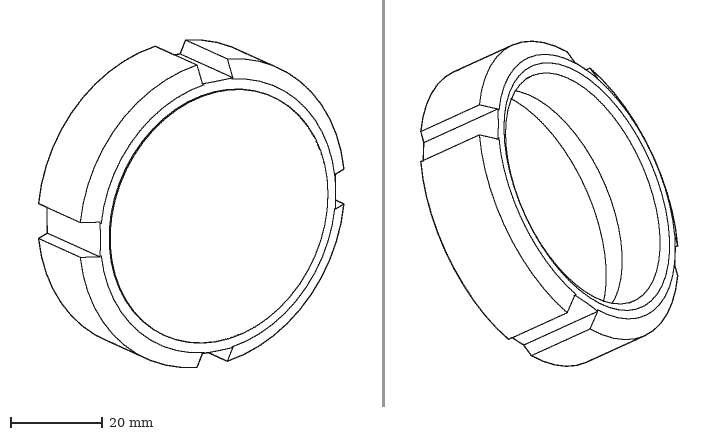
import cadquery as cq
import math

slot_count = 4
slot_width = 8.0

overall_span = 69.55
outer_diameter = math.hypot(overall_span, slot_width)
overall_width = 21.5
boss_height = 0.4
boss_diameter = 57.45
body_width = overall_width - boss_height

bevel_length = 2.3
face_diameter = 62.0
slot_floor_radius = face_diameter / 2

bore_diameter = 54.2
mouth_diameter = 58.1
mouth_depth = 1.1
relief_diameter = 58.8
relief_start = 11.75
floor_depth = 18.1


def make_nut_body():
    """Revolve the half section, drawn as (axial position, radius), about X."""
    outer_radius = outer_diameter / 2
    face_radius = face_diameter / 2
    boss_radius = boss_diameter / 2
    bore_radius = bore_diameter / 2
    relief_radius = relief_diameter / 2
    section = [
        (floor_depth, 0),
        (floor_depth, relief_radius),
        (relief_start, relief_radius),
        (relief_start, bore_radius),
        (mouth_depth, bore_radius),
        (0, mouth_diameter / 2),
        (0, face_radius),
        (bevel_length, outer_radius),
        (body_width - bevel_length, outer_radius),
        (body_width, face_radius),
        (body_width, boss_radius),
        (overall_width, boss_radius),
        (overall_width, 0),
    ]
    profile = cq.Workplane("XY").polyline(section).close()
    return profile.revolve(360, (0, 0, 0), (1, 0, 0))


def make_slot_cutter(angle):
    """Block with a flat floor that cuts one slot across the full width."""
    cutter_height = outer_diameter / 2
    cutter = cq.Workplane("XY").box(
        overall_width, slot_width, cutter_height, centered=(False, True, False)
    )
    return cutter.translate((0, 0, slot_floor_radius)).rotate((0, 0, 0), (1, 0, 0), angle)


result = make_nut_body()
for index in range(slot_count):
    result = result.cut(make_slot_cutter(index * 360 / slot_count))